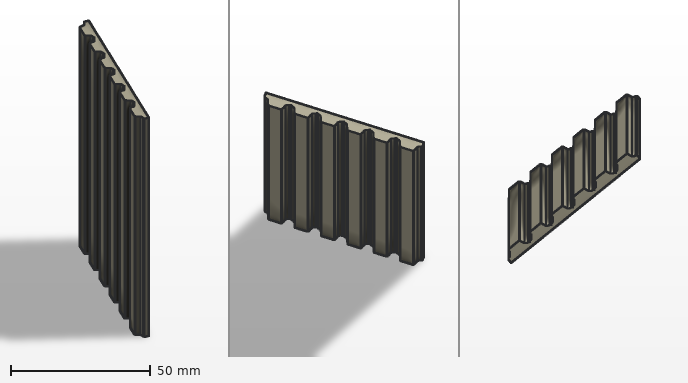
import cadquery as cq

tooth_count = 6
pitch = 10.0
belt_width = 100.0
belt_thickness = 4.5
tip_width = 4.7
tip_bevel = 0.3

valley_depth = 1.6
groove_half_width = 0.5
groove_depth = 2.0
root_end_offset = 1.7
root_end_depth = 2.6
root_bulge = 0.15

length = tooth_count * pitch
left_x = -length / 2
right_x = length / 2
back_y = belt_thickness / 2
tip_y = -back_y
bevel_y = tip_y + tip_bevel
valley_y = back_y - valley_depth
groove_y = back_y - groove_depth
root_end_y = back_y - root_end_depth


def add_tooth(outline, start_x):
    """Continue the outline over one tooth, from one valley centre to the next."""
    end_x = start_x + pitch
    centre_x = start_x + pitch / 2
    tip_left = centre_x - tip_width / 2
    tip_right = centre_x + tip_width / 2
    return (
        outline.lineTo(start_x + groove_half_width, groove_y)
        .sagittaArc((start_x + root_end_offset, root_end_y), root_bulge)
        .lineTo(tip_left - tip_bevel, bevel_y)
        .lineTo(tip_left, tip_y)
        .lineTo(tip_right, tip_y)
        .lineTo(tip_right + tip_bevel, bevel_y)
        .lineTo(end_x - root_end_offset, root_end_y)
        .sagittaArc((end_x - groove_half_width, groove_y), root_bulge)
        .lineTo(end_x, valley_y)
    )


outline = cq.Workplane("XY").moveTo(left_x, back_y).lineTo(left_x, valley_y)
for index in range(tooth_count):
    outline = add_tooth(outline, left_x + index * pitch)
outline = outline.lineTo(right_x, back_y).close()

result = outline.extrude(belt_width / 2, both=True)